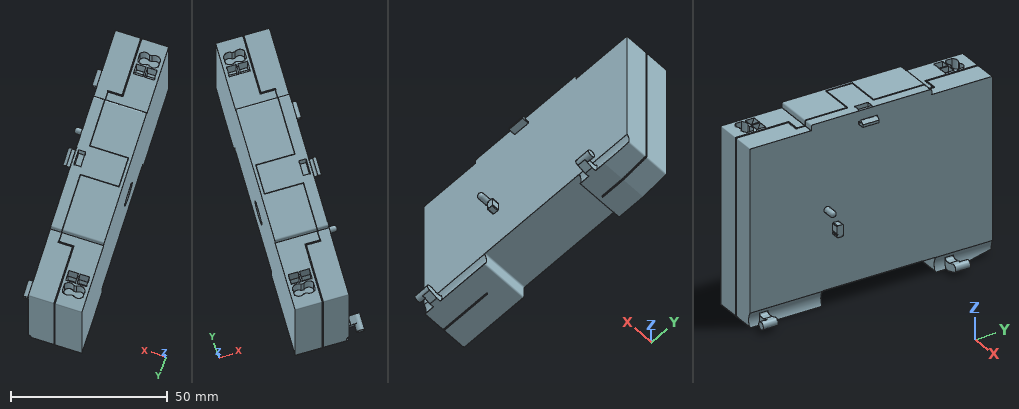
import cadquery as cq

LENGTH = 91.2
HEIGHT = 67.5
WIDTH = 18.0
OVERALL_WIDTH = 23.6
HALF_LENGTH = LENGTH / 2
SHOULDER_Z = 65.5
CREST_HALF_LENGTH = 22.6
CREST_RADIUS = 0.7
EDGE_RADIUS = 0.4
FOOT_EDGE_RADIUS = 0.55

RAIL_DEPTH = 5.7
RAIL_BACK_Y = 24.1
RAIL_FRONT_Y = -18.4
RAIL_RADIUS = 0.55
HEEL_RISE = 1.9
HEEL_START_Y = 35.1

FOOT_HOLLOW_TOP_Z = 5.6
FOOT_HOLLOW_MID = (17.1, 2.9)
FOOT_HOLLOW_BASE_X = 17.8

JOINT_WIDTH = 0.4
JOINT_DEPTH = 0.4
JOINT_X = 9.2
JOG_Y = 25.8
SEAM_WIDTH = 0.1
SEAM_DEPTH = 0.2
SEAM_X = 14.0
TAB_X = 1.1
TAB_BACK_Y = 3.2
TAB_FRONT_Y = -6.7

TERMINAL_X = 4.65
TERMINAL_Y = 39.5
TERMINAL_WIDTH = 6.9
TERMINAL_DEPTH = 9.1
WIRE_HOLE_DIAMETER = 4.1
WIRE_HOLE_SPACING = 3.5
WIRE_NECK_LENGTH = 3.2
WINDOW_WIDTH = 3.2
WINDOW_INNER_Y = 33.7
WINDOW_OUTER_Y = 37.0
WINDOW_RAMP_RUN = 1.2
WINDOW_RAMP_DEPTH = 3.2

DIMPLE_DIAMETER = 7.9
DIMPLE_DEPTH = 0.9
DIMPLE_Y = -3.4
DIMPLE_Z = 27.5

SLOT_X = 15.9
SLOT_Y = -1.8
SLOT_WIDTH = 2.4
SLOT_LENGTH = 5.0
SLOT_DEPTH = 5.5

ROOT = 1.4
COUPLING_END_X = 20.6

SNAP_Y = -1.8
SNAP_LENGTH = 6.1
SNAP_BOTTOM_Z = 62.7
SNAP_ARM_Z = 63.7
SNAP_TIP_Z = 64.8
SNAP_BARB_X = 19.3
SNAP_BARB_RADIUS = 0.5

PIN_DIAMETER = 2.3
PIN_END_X = 22.3
PIN_Y = -16.7
PIN_Z = 34.9
PIN_NOSE_RADIUS = 1.0

KEY_BACK_Y = -12.2
KEY_FRONT_Y = -14.6
KEY_BOTTOM_Z = 25.2
KEY_TOP_Z = 29.55
KEY_CHAMFER = 0.3
KEY_GROOVE_Z = 26.4
KEY_GROOVE_WIDTH = 0.55

HOOK_ARM_LENGTH = 3.1
HOOK_PIN_LENGTH = 5.7
HOOK_PIN_DIAMETER = 2.8
HOOK_PIN_X = OVERALL_WIDTH - HOOK_PIN_DIAMETER / 2
HOOK_PIN_Z = 2.5
HOOK_LOWER_BEND_X = 19.3
HOOK_UPPER_BEND_X = 19.7
HOOK_ARM_TOP_Z = 3.1
HOOK_LOWER_TIP = (22.6, 1.1)
HOOK_UPPER_TIP = (21.6, 3.7)
HOOK_THROAT_X = 18.4
HOOK_THROAT_MID = (17.7, 3.3)
HOOK_THROAT_END = (17.2, 4.1)
HOOK_BACK_Y = 28.1
HOOK_FRONT_Y = -38.5


def box(x_range, y_range, z_range):
    """Axis-aligned box between the given limits."""
    sizes = [high - low for low, high in (x_range, y_range, z_range)]
    corner = (x_range[0], y_range[0], z_range[0])
    return cq.Workplane().box(*sizes, centered=False).translate(corner)


def side_outline():
    """Closed outline of the housing in the YZ plane."""
    return cq.Workplane("YZ").polyline([
        (-HALF_LENGTH, 0),
        (RAIL_FRONT_Y, 0),
        (RAIL_FRONT_Y, RAIL_DEPTH),
        (RAIL_BACK_Y, RAIL_DEPTH),
        (RAIL_BACK_Y, 0),
        (HEEL_START_Y, 0),
        (HALF_LENGTH, HEEL_RISE),
        (HALF_LENGTH, SHOULDER_Z),
        (CREST_HALF_LENGTH, SHOULDER_Z),
        (CREST_HALF_LENGTH, HEIGHT),
        (-CREST_HALF_LENGTH, HEIGHT),
        (-CREST_HALF_LENGTH, SHOULDER_Z),
        (-HALF_LENGTH, SHOULDER_Z),
    ]).close()


def edges_along_x(y_range, z_range):
    """Selector for the edges along X inside a Y and Z range."""
    return cq.selectors.BoxSelector((0, y_range[0], z_range[0]), (WIDTH, y_range[1], z_range[1]))


def make_housing():
    housing = side_outline().extrude(WIDTH)
    reach = 0.9

    def round_corners(solid, corners, radius):
        for y, z in corners:
            near = edges_along_x((y - reach, y + reach), (z - reach, z + reach))
            solid = solid.edges("|X").edges(near).fillet(radius)
        return solid

    ends = (-HALF_LENGTH, HALF_LENGTH)
    crest_ends = (-CREST_HALF_LENGTH, CREST_HALF_LENGTH)
    rail_sides = (RAIL_FRONT_Y, RAIL_BACK_Y)
    housing = round_corners(housing, [(y, SHOULDER_Z) for y in ends], EDGE_RADIUS)
    housing = round_corners(housing, [(y, HEIGHT) for y in crest_ends], CREST_RADIUS)
    housing = round_corners(housing, [(y, z) for y in rail_sides for z in (0, RAIL_DEPTH)], RAIL_RADIUS)
    return round_corners(housing, [(-HALF_LENGTH, 0), (HALF_LENGTH, HEEL_RISE)], FOOT_EDGE_RADIUS)


def foot_hollow():
    """Shallow curved hollow along the +X side of the feet."""
    return (
        cq.Workplane("XZ", origin=(0, HALF_LENGTH, 0))
        .moveTo(WIDTH, FOOT_HOLLOW_TOP_Z)
        .threePointArc(FOOT_HOLLOW_MID, (FOOT_HOLLOW_BASE_X, 0))
        .lineTo(WIDTH, 0)
        .close()
        .extrude(LENGTH)
    )


def joint_cuts(housing):
    """Wide joint at the ends and shoulders, narrow seam around the label tab on the crest."""

    def skin(depth):
        return housing.cut(side_outline().offset2D(-depth).extrude(WIDTH))

    def strip(x_range, y_range, width):
        """Straight cut in the upper half, widened by half its width all round."""
        half = width / 2
        return box(
            (x_range[0] - half, x_range[1] + half),
            (y_range[0] - half, y_range[1] + half),
            (HEIGHT / 2, HEIGHT),
        )

    seam = strip((TAB_X, TAB_X), (TAB_FRONT_Y, TAB_BACK_Y), SEAM_WIDTH)
    for y in (TAB_FRONT_Y, TAB_BACK_Y):
        seam = seam.union(strip((TAB_X, SEAM_X), (y, y), SEAM_WIDTH))
    for y_range in ((-JOG_Y, TAB_FRONT_Y), (TAB_BACK_Y, JOG_Y)):
        seam = seam.union(strip((SEAM_X, SEAM_X), y_range, SEAM_WIDTH))

    half = JOINT_WIDTH / 2
    joint = None
    for y_range in ((-HALF_LENGTH, -JOG_Y), (JOG_Y, HALF_LENGTH)):
        jog_y = min(y_range, key=abs)
        run = box((JOINT_X - half, JOINT_X + half), y_range, (0, HEIGHT))
        jog = strip((JOINT_X, SEAM_X), (jog_y, jog_y), JOINT_WIDTH)
        joint = run.union(jog) if joint is None else joint.union(run).union(jog)

    return seam.intersect(skin(SEAM_DEPTH)).union(joint.intersect(skin(JOINT_DEPTH)))


def back_terminal():
    """Cutter for the terminal on the +Y shoulder: a double wire hole and two release windows."""
    floor_z = SHOULDER_Z - TERMINAL_DEPTH
    floor = cq.Workplane(origin=(TERMINAL_X, TERMINAL_Y, floor_z))
    cutter = floor.rect(WIRE_HOLE_SPACING, WIRE_NECK_LENGTH).extrude(TERMINAL_DEPTH)
    for x in (-WIRE_HOLE_SPACING / 2, WIRE_HOLE_SPACING / 2):
        cutter = cutter.union(floor.center(x, 0).circle(WIRE_HOLE_DIAMETER / 2).extrude(TERMINAL_DEPTH))
    cutter = cutter.intersect(floor.rect(TERMINAL_WIDTH, TERMINAL_WIDTH).extrude(TERMINAL_DEPTH))

    ramp_y = WINDOW_INNER_Y + WINDOW_RAMP_RUN
    window = (
        cq.Workplane("YZ")
        .polyline([
            (WINDOW_INNER_Y, SHOULDER_Z),
            (ramp_y, SHOULDER_Z - WINDOW_RAMP_DEPTH),
            (ramp_y, floor_z),
            (WINDOW_OUTER_Y, floor_z),
            (WINDOW_OUTER_Y, SHOULDER_Z),
        ])
        .close()
        .extrude(WINDOW_WIDTH)
    )
    half_width = TERMINAL_WIDTH / 2
    for left_x in (TERMINAL_X - half_width, TERMINAL_X + half_width - WINDOW_WIDTH):
        cutter = cutter.union(window.translate((left_x, 0, 0)))
    return cutter


def dimple():
    """Spherical cap revolved about the X direction."""
    sphere_radius = (DIMPLE_DIAMETER ** 2 / 4 + DIMPLE_DEPTH ** 2) / (2 * DIMPLE_DEPTH)
    center_x = DIMPLE_DEPTH - sphere_radius
    return (
        cq.Workplane("XY", origin=(center_x, DIMPLE_Y, DIMPLE_Z))
        .moveTo(-sphere_radius, 0)
        .threePointArc((0, sphere_radius), (sphere_radius, 0))
        .close()
        .revolve(360, (0, 0, 0), (1, 0, 0))
    )


def latch_slot():
    return (
        cq.Workplane(origin=(SLOT_X, SLOT_Y, HEIGHT))
        .rect(SLOT_WIDTH, SLOT_LENGTH)
        .extrude(-SLOT_DEPTH)
    )


def snap():
    """Barbed snap arm near the top."""
    root_x = WIDTH - ROOT
    return (
        cq.Workplane("XZ", origin=(0, SNAP_Y, 0))
        .polyline([
            (root_x, SNAP_BOTTOM_Z),
            (COUPLING_END_X, SNAP_BOTTOM_Z),
            (COUPLING_END_X, SNAP_ARM_Z),
            (SNAP_BARB_X, SNAP_TIP_Z),
            (SNAP_BARB_X, SNAP_ARM_Z),
            (root_x, SNAP_ARM_Z),
        ])
        .close()
        .extrude(SNAP_LENGTH / 2, both=True)
        .edges("|Y")
        .edges(cq.NearestToPointSelector((SNAP_BARB_X, SNAP_Y, SNAP_ARM_Z)))
        .fillet(SNAP_BARB_RADIUS)
    )


def locating_pin():
    start_x = WIDTH - ROOT
    return (
        cq.Workplane("YZ", origin=(start_x, PIN_Y, PIN_Z))
        .circle(PIN_DIAMETER / 2)
        .extrude(PIN_END_X - start_x)
        .faces(">X")
        .edges()
        .fillet(PIN_NOSE_RADIUS)
    )


def key():
    """Chamfered key with a V groove along its -Y face."""
    x_range = (WIDTH - ROOT, COUPLING_END_X)
    block = box(x_range, (KEY_FRONT_Y, KEY_BACK_Y), (KEY_BOTTOM_Z, KEY_TOP_Z))
    block = block.edges("|X").chamfer(KEY_CHAMFER)
    half = KEY_GROOVE_WIDTH / 2
    groove = (
        cq.Workplane("YZ", origin=(WIDTH, 0, 0))
        .polyline([
            (KEY_FRONT_Y, KEY_GROOVE_Z - half),
            (KEY_FRONT_Y + half, KEY_GROOVE_Z),
            (KEY_FRONT_Y, KEY_GROOVE_Z + half),
        ])
        .close()
        .extrude(COUPLING_END_X - WIDTH)
    )
    return block.cut(groove)


def foot_hook(inner_y, outward):
    """Curved arm ending in a pin along Y; outward is +1 towards +Y and -1 towards -Y."""
    root_x = WIDTH - ROOT
    arm = (
        cq.Workplane("XZ", origin=(0, inner_y, 0))
        .moveTo(root_x, 0)
        .lineTo(HOOK_LOWER_BEND_X, 0)
        .lineTo(*HOOK_LOWER_TIP)
        .lineTo(HOOK_PIN_X, HOOK_PIN_Z)
        .lineTo(*HOOK_UPPER_TIP)
        .lineTo(HOOK_UPPER_BEND_X, HOOK_ARM_TOP_Z)
        .lineTo(HOOK_THROAT_X, HOOK_ARM_TOP_Z)
        .threePointArc(HOOK_THROAT_MID, HOOK_THROAT_END)
        .lineTo(root_x, HOOK_THROAT_END[1])
        .close()
        .extrude(-outward * HOOK_ARM_LENGTH)
    )
    pin = (
        cq.Workplane("XZ", origin=(HOOK_PIN_X, inner_y, HOOK_PIN_Z))
        .circle(HOOK_PIN_DIAMETER / 2)
        .extrude(-outward * HOOK_PIN_LENGTH)
    )
    return arm.union(pin)


housing = make_housing()
terminal = back_terminal()
body = housing.cut(foot_hollow()).cut(joint_cuts(housing))
body = body.cut(terminal).cut(terminal.mirror("XZ"))
body = body.cut(dimple())

for part in (locating_pin(), key(), snap(), foot_hook(HOOK_BACK_Y, 1), foot_hook(HOOK_FRONT_Y, -1)):
    body = body.union(part)

result = body.cut(latch_slot())